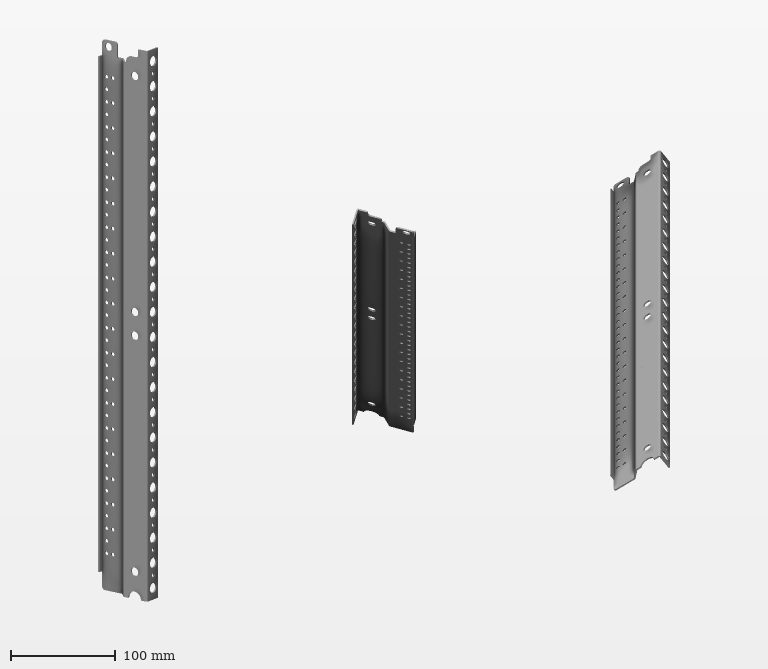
import cadquery as cq
import math

WIDTH = 59.0
DEPTH = 17.0
LENGTH = 548.5
THICKNESS = 1.5
EDGE_BEND = 0.5
EDGE_BEND_OUTSIDE = EDGE_BEND + THICKNESS
JOGGLE_BEND = 1.0
JOGGLE_BEND_OUTSIDE = JOGGLE_BEND + THICKNESS

PLATE_FRONT = 7.25
PLATE_BACK = PLATE_FRONT + THICKNESS
LIP_FRONT = 1.0
JOGGLE_START = 23.75
JOGGLE_ANGLE = math.radians(45)
MITER = THICKNESS * math.tan(JOGGLE_ANGLE / 2)
JOGGLE_END = JOGGLE_START + PLATE_FRONT / math.tan(JOGGLE_ANGLE)

LIP_TOP_GAP = 15.5
LIP_BOTTOM_GAP = 19.0
PLATE_CORNER_RADIUS = 3.0

TAB_WIDTH = 18.0
NOTCH_DEPTH = 15.0
NOTCH_STEP_X = 34.0
STEP_DEPTH = 8.5
NOTCH_END_X = 48.0
STEP_EDGE_RADIUS = 5.0
STEP_ROOT_RADIUS = 3.0

BOTTOM_NOTCH_DIAMETER = 15.0

PITCH = 25.0
FLANGE_HOLE_COUNT = 22
FIRST_HOLE_Z = (LENGTH - (FLANGE_HOLE_COUNT - 1) * PITCH) / 2
FLANGE_HOLE_Y = 9.5
FLANGE_HOLE_DIAMETER = 10.0
FLANGE_SMALL_DIAMETER = 4.0
PLATE_HOLE_COUNT = FLANGE_HOLE_COUNT - 2
PLATE_HOLE_DIAMETER = 4.0
OUTER_COLUMN_X = 5.0
INNER_COLUMN_X = 12.5
TAB_HOLE_X = 7.5
TAB_HOLE_FROM_TOP = 6.5
TAB_HOLE_DIAMETER = 8.0
MOUNT_HOLE_X = 44.0
MOUNT_HOLE_DIAMETER = 8.5
MOUNT_END_DISTANCE = 27.25
MOUNT_MIDDLE_OFFSET = 11.75


def bent_sheet():
    """Extrude the folded cross section along Z with rounded bends."""
    lip_in, lip_out = (THICKNESS, PLATE_FRONT), (0, PLATE_BACK)
    upper_in, upper_out = (JOGGLE_START, PLATE_FRONT), (JOGGLE_START + MITER, PLATE_BACK)
    lower_in, lower_out = (JOGGLE_END + MITER, THICKNESS), (JOGGLE_END, 0)
    flange_in, flange_out = (WIDTH - THICKNESS, THICKNESS), (WIDTH, 0)
    outline = [
        (0, LIP_FRONT),
        (THICKNESS, LIP_FRONT),
        lip_in,
        upper_in,
        lower_out,
        flange_out,
        (WIDTH, DEPTH),
        (WIDTH - THICKNESS, DEPTH),
        flange_in,
        lower_in,
        upper_out,
        lip_out,
    ]
    sheet = cq.Workplane("XY").polyline(outline).close().extrude(LENGTH)
    bends = (
        ((lip_in, flange_in), EDGE_BEND),
        ((lip_out, flange_out), EDGE_BEND_OUTSIDE),
        ((upper_in, lower_in), JOGGLE_BEND),
        ((upper_out, lower_out), JOGGLE_BEND_OUTSIDE),
    )
    for corners, radius in bends:
        for x, y in corners:
            nearest = cq.selectors.NearestToPointSelector((x, y, LENGTH / 2))
            sheet = sheet.edges("|Z").edges(nearest).fillet(radius)
    return sheet


def box(x_range, y_range, z_range):
    """Axis-aligned box from its limits."""
    size = [high - low for low, high in (x_range, y_range, z_range)]
    return cq.Workplane("XY").box(*size, centered=False).translate((x_range[0], y_range[0], z_range[0]))


def square_off_lip_end(sheet, z_low, z_high):
    """Replace the lip by flat plate between two heights."""
    z_range = (z_low, z_high)
    sheet = sheet.cut(box((0, EDGE_BEND_OUTSIDE), (0, PLATE_BACK), z_range))
    return sheet.union(box((0, EDGE_BEND_OUTSIDE), (PLATE_FRONT, PLATE_BACK), z_range))


def through_y(sketch):
    """Extrude an XZ sketch through the full depth."""
    return sketch.extrude(-DEPTH)


def top_notch():
    """Stepped notch between the plate tab and the flange."""
    notch_z = LENGTH - NOTCH_DEPTH
    step_z = LENGTH - STEP_DEPTH
    outline = [
        (TAB_WIDTH, LENGTH),
        (TAB_WIDTH, notch_z),
        (NOTCH_STEP_X, notch_z),
        (NOTCH_STEP_X, step_z),
        (NOTCH_END_X, step_z),
        (NOTCH_END_X, LENGTH),
    ]
    notch = through_y(cq.Workplane("XZ").polyline(outline).close())
    for x, radius in ((NOTCH_STEP_X, STEP_EDGE_RADIUS), (NOTCH_END_X, STEP_ROOT_RADIUS)):
        nearest = cq.selectors.NearestToPointSelector((x, DEPTH / 2, step_z))
        notch = notch.edges("|Y").edges(nearest).fillet(radius)
    return notch


def round_plate_corners(sheet):
    """Round the free corners of the plate at both ends."""
    for x, z in ((0, 0), (0, LENGTH), (TAB_WIDTH, LENGTH)):
        point = (x, PLATE_FRONT + THICKNESS / 2, z)
        nearest = cq.selectors.NearestToPointSelector(point)
        sheet = sheet.edges("|Y").edges(nearest).fillet(PLATE_CORNER_RADIUS)
    return sheet


def holes_along_y(points, diameter):
    """Round cutters through the depth at XZ points."""
    return through_y(cq.Workplane("XZ").pushPoints(points).circle(diameter / 2))


def plate_holes():
    """Two columns of small holes; the outer one has half the pitch."""
    start_z = FIRST_HOLE_Z + PITCH
    outer = [(OUTER_COLUMN_X, start_z + i * PITCH / 2) for i in range(2 * PLATE_HOLE_COUNT - 1)]
    inner = [(INNER_COLUMN_X, start_z + i * PITCH) for i in range(PLATE_HOLE_COUNT)]
    return holes_along_y(outer + inner, PLATE_HOLE_DIAMETER)


def mount_holes():
    """Two mounting holes near the ends and a pair about mid length."""
    middle = LENGTH / 2
    heights = (
        MOUNT_END_DISTANCE,
        middle - MOUNT_MIDDLE_OFFSET,
        middle + MOUNT_MIDDLE_OFFSET,
        LENGTH - MOUNT_END_DISTANCE,
    )
    return holes_along_y([(MOUNT_HOLE_X, z) for z in heights], MOUNT_HOLE_DIAMETER)


def flange_holes(count, start_z, diameter):
    """A row of cutters through the tall flange only."""
    points = [(FLANGE_HOLE_Y, start_z + i * PITCH) for i in range(count)]
    plane = cq.Workplane("YZ", origin=(WIDTH - THICKNESS, 0, 0))
    return plane.pushPoints(points).circle(diameter / 2).extrude(THICKNESS)


result = bent_sheet()
result = square_off_lip_end(result, 0, LIP_BOTTOM_GAP)
result = square_off_lip_end(result, LENGTH - LIP_TOP_GAP, LENGTH)
result = result.cut(top_notch())
result = round_plate_corners(result)
result = result.cut(holes_along_y([(MOUNT_HOLE_X, 0)], BOTTOM_NOTCH_DIAMETER))
result = result.cut(holes_along_y([(TAB_HOLE_X, LENGTH - TAB_HOLE_FROM_TOP)], TAB_HOLE_DIAMETER))
result = result.cut(plate_holes())
result = result.cut(mount_holes())
result = result.cut(flange_holes(FLANGE_HOLE_COUNT, FIRST_HOLE_Z, FLANGE_HOLE_DIAMETER))
result = result.cut(flange_holes(FLANGE_HOLE_COUNT - 1, FIRST_HOLE_Z + PITCH / 2, FLANGE_SMALL_DIAMETER))